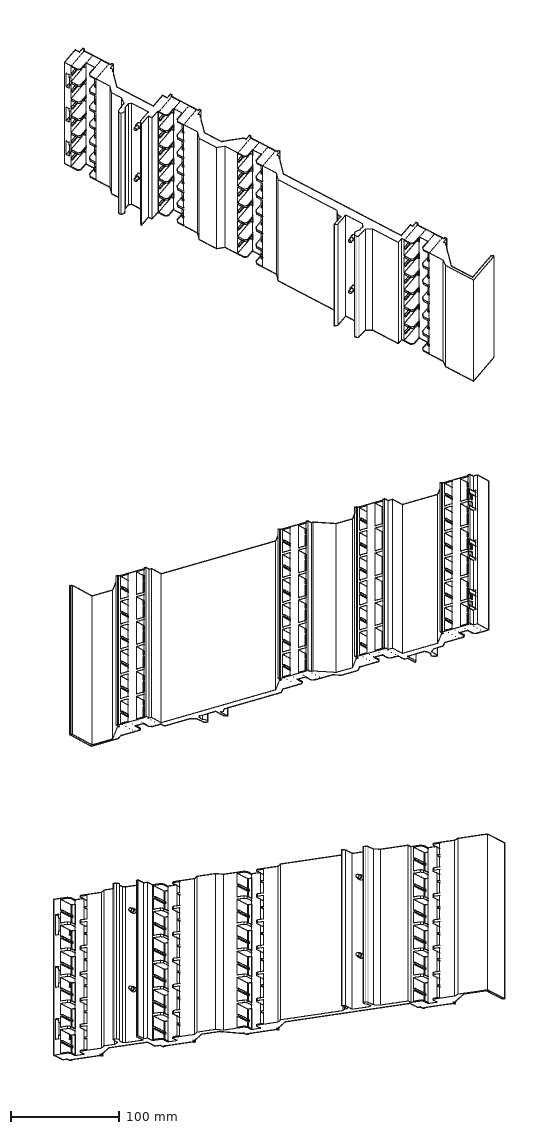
import cadquery as cq
import math

length_x = 456.5
depth_y = 51.1
height_z = 149.5
half_height = height_z / 2

plate_bottom = 15.4
plate_top = 23.8
station_bottom = 21.0
notch_floor = 31.6
shoulder_level = 39.0
crown_level = 42.6
ridge_top = 44.3
end_plate_bottom = 17.0
end_plate_top = 19.5
leg_step_level = 11.4

station_origins = [0.6, 97.8, 185.4, 370.2]
ridge_left = 4.2
ridge_right = 38.4
ridge_width = 2.0
station_middle = (ridge_left + ridge_right) / 2
slope_start = 40.6
belly_start = 49.8
belly_run = 5.6
notch_left = 16.2
notch_right = 25.8
notch_mouth_chamfer = 2.2
second_wall = 96.8
second_step = 103.6
fourth_wall = 371.8
fourth_step = 374.2

window_rows = 6
window_pitch = 25.0
window_height = 22.6
rib_height = window_pitch - window_height
window_left = 6.7
window_right = 34.2
nub_width = 1.6
nub_height = 1.6

slot_count = 3
slot_pitch = 50.0
slot_left = 2.0
slot_right = 5.2
slot_length = 19.6
slot_recess_right = 5.8
slot_recess_length = 12.4
slot_passage_top = 41.4
slot_passage_length = 11.4

clip_mirror_x = 206.3
hook_root = 67.0
hook_shoulder = 72.4
hook_outer = 73.1
hook_inner = 76.2
hook_tip_right = 77.0
hook_bulge = 78.7
hook_bulge_level = 3.5
hook_neck_level = 8.0
hook_flare = 2.2
hook_tip_radius = 1.8
leg_inner = second_wall
leg_outer = 99.6
leg_taper_width = 2.2
leg_taper_height = 2.2
leg_root = 106.6

pin_x = 87.3
pin_spacing_x = 238.0
pin_levels_z = (-25, 50)
pin_base_diameter = 4.4
pin_base_level = 11.8
pin_tip_diameter = 3.2
pin_tip_level = 8.0

lip_thickness = 2.6
lip_chamfer = 1.2


def prism(points):
    """Extrude an XY outline over the full height."""
    return cq.Workplane("XY").workplane(offset=-half_height).polyline(points).close().extrude(height_z)


def block(x0, x1, y0, y1, z_center, z_size):
    """Box from its X and Y limits, centred on z_center."""
    box = cq.Workplane("XY").box(x1 - x0, y1 - y0, z_size)
    return box.translate(((x0 + x1) / 2, (y0 + y1) / 2, z_center))


def centered_positions(count, pitch):
    return [(i - (count - 1) / 2) * pitch for i in range(count)]


def right_slope(origin, foot_level):
    """Upper points of the 45 degree slope on the right of a station."""
    top_x = origin + slope_start
    return [(top_x, shoulder_level), (top_x + shoulder_level - foot_level, foot_level)]


def right_belly(origin, foot_level):
    """Lower points where the station underside slopes to the plate on its right."""
    corner_x = origin + belly_start
    return [(corner_x + belly_run, foot_level), (corner_x, station_bottom)]


def mirrored_in_station(points, origin):
    axis_x = origin + station_middle
    return [(2 * axis_x - x, y) for x, y in reversed(points)]


def make_body():
    first, second, third, fourth = station_origins
    lip_inner = length_x - lip_thickness
    upper = [(0, station_bottom), (0, shoulder_level)]
    upper += right_slope(first, plate_top)
    upper += [(second_wall, plate_top), (second_wall, shoulder_level)]
    upper += right_slope(second, plate_top)
    upper += mirrored_in_station(right_slope(third, plate_top), third)
    upper += right_slope(third, plate_top)
    upper += [(fourth_wall, plate_top), (fourth_wall, shoulder_level)]
    upper += right_slope(fourth, end_plate_top)
    lip = [
        (lip_inner, end_plate_top),
        (lip_inner, depth_y - lip_chamfer),
        (lip_inner + lip_chamfer, depth_y),
        (length_x, depth_y),
        (length_x, end_plate_bottom),
    ]
    lower = right_belly(fourth, end_plate_bottom)
    lower += [(fourth_step, station_bottom), (fourth_step, plate_bottom)]
    lower += right_belly(third, plate_bottom)
    lower += mirrored_in_station(right_belly(third, plate_bottom), third)
    lower += right_belly(second, plate_bottom)
    lower += [(second_step, station_bottom), (second_step, plate_bottom)]
    lower += right_belly(first, plate_bottom)
    return prism(upper + lip + lower)


def make_crown(origin):
    """Flat crown of a station with a ridge along each edge."""
    left = origin + ridge_left
    right = origin + ridge_right
    return prism([
        (left, station_bottom),
        (left, ridge_top),
        (left + ridge_width, ridge_top),
        (left + ridge_width, crown_level),
        (right - ridge_width, crown_level),
        (right - ridge_width, ridge_top),
        (right, ridge_top),
        (right, station_bottom),
    ])


def make_notch(origin):
    """Groove along the underside with a chamfered mouth."""
    left = origin + notch_left
    right = origin + notch_right
    chamfer_level = station_bottom + notch_mouth_chamfer
    return prism([
        (left - notch_mouth_chamfer, station_bottom),
        (left, chamfer_level),
        (left, notch_floor),
        (right, notch_floor),
        (right, chamfer_level),
        (right + notch_mouth_chamfer, station_bottom),
    ])


def make_window_pair(origin, z):
    """Two openings beside the bar over the notch, each with a nub on its outer edge."""
    left = origin + window_left
    right = origin + window_right
    left_opening = block(left, origin + notch_left, 0, depth_y, z, window_height)
    right_opening = block(origin + notch_right, right, 0, depth_y, z, window_height)
    left_nub = block(left, left + nub_width, 0, depth_y, z, nub_height)
    right_nub = block(right - nub_width, right, 0, depth_y, z, nub_height)
    return left_opening.cut(left_nub), right_opening.cut(right_nub)


def make_shoulder_slot(z):
    """Slot biting into the ridge, deeper over its middle, with a low passage to the windows."""
    slot = block(slot_left, slot_right, 0, depth_y, z, slot_length)
    recess = block(slot_left, slot_recess_right, 0, depth_y, z, slot_recess_length)
    window_edge = station_origins[0] + window_left
    passage = block(slot_left, window_edge, shoulder_level, slot_passage_top, z, slot_passage_length)
    rib_end = block(slot_recess_right, window_edge, 0, depth_y, z, rib_height)
    return slot.union(recess).union(passage.cut(rib_end))


def make_hook_leg():
    """Leg with a sloped root, a rounded outer tip and a hook bulge on its inner side."""
    diagonal = hook_tip_radius * (1 - math.sqrt(0.5))
    hook_tip_left = hook_outer + hook_tip_radius
    return (
        cq.Workplane("XY").workplane(offset=-half_height)
        .moveTo(hook_root, plate_top)
        .lineTo(hook_root, plate_bottom)
        .lineTo(hook_shoulder, leg_step_level)
        .lineTo(hook_outer, hook_tip_radius)
        .threePointArc((hook_outer + diagonal, diagonal), (hook_tip_left, 0))
        .lineTo(hook_tip_right, 0)
        .lineTo(hook_bulge, hook_bulge_level)
        .lineTo(hook_inner, hook_neck_level)
        .lineTo(hook_inner, plate_bottom - hook_flare)
        .lineTo(hook_inner + hook_flare, plate_bottom)
        .lineTo(hook_inner + hook_flare, plate_top)
        .close()
        .extrude(height_z)
    )


def make_straight_leg(foot):
    """Straight leg with a tapered inner tip; foot holds the root points beyond its outer face."""
    return prism([
        (leg_inner, plate_top),
        (leg_inner, leg_taper_height),
        (leg_inner + leg_taper_width, 0),
        (leg_outer, 0),
        (leg_outer, leg_step_level),
    ] + foot)


def mirrored_clip(shape):
    return shape.mirror("YZ", (clip_mirror_x, 0, 0))


def make_pin(z):
    """Stepped round pin pointing toward -Y."""
    def stage(diameter, tip_level):
        plane = cq.Workplane("XZ", origin=(pin_x, plate_top, z))
        return plane.circle(diameter / 2).extrude(plate_top - tip_level)

    return stage(pin_base_diameter, pin_base_level).union(stage(pin_tip_diameter, pin_tip_level))


result = make_body()

for station in station_origins:
    result = result.union(make_crown(station)).cut(make_notch(station))

for station in station_origins:
    for row_z in centered_positions(window_rows, window_pitch):
        for opening in make_window_pair(station, row_z):
            result = result.cut(opening)

for slot_z in centered_positions(slot_count, slot_pitch):
    result = result.cut(make_shoulder_slot(slot_z))

step_foot = [(second_step, leg_step_level), (second_step, plate_top)]
foot_slope = plate_bottom - leg_step_level
sloped_foot = [
    (leg_root - foot_slope, leg_step_level),
    (leg_root, plate_bottom),
    (leg_root, plate_top),
]
hook_leg = make_hook_leg()
result = result.union(hook_leg).union(mirrored_clip(hook_leg))
result = result.union(make_straight_leg(step_foot))
result = result.union(mirrored_clip(make_straight_leg(sloped_foot)))

for pin_z in pin_levels_z:
    pin = make_pin(pin_z)
    result = result.union(pin).union(pin.translate((pin_spacing_x, 0, 0)))